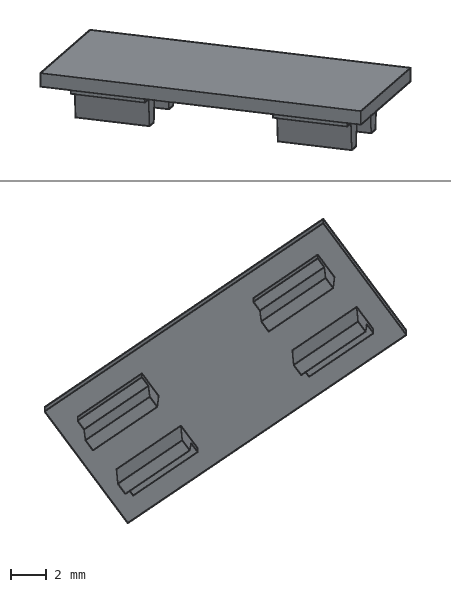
import cadquery as cq

plate_length = 19.0
plate_width = 8.0
plate_thickness = 0.8
total_height = 3.12

leg_length = 4.39
leg_end_inset = 1.31
shoulder_height = 0.68
shoulder_outer_y = 2.68
leg_root_inner_y = 1.06
leg_step_outer_y = 2.05
leg_tip_inner_y = 1.2
leg_tip_outer_y = 1.92

leg_height = total_height - plate_thickness
leg_start_x = plate_length / 2 - leg_end_inset - leg_length


def make_plate():
    """Flat plate with its underside at Z = 0."""
    return cq.Workplane("XY").box(
        plate_length, plate_width, plate_thickness, centered=(True, True, False)
    )


def make_leg():
    """Tapered leg with an outer shoulder, in the +X, +Y quadrant."""
    profile = [
        (leg_root_inner_y, 0),
        (shoulder_outer_y, 0),
        (shoulder_outer_y, -shoulder_height),
        (leg_step_outer_y, -shoulder_height),
        (leg_tip_outer_y, -leg_height),
        (leg_tip_inner_y, -leg_height),
    ]
    section = cq.Workplane("YZ", origin=(leg_start_x, 0, 0)).polyline(profile).close()
    return section.extrude(leg_length)


leg = make_leg()
leg_pair = leg.union(leg.mirror("XZ"))
result = make_plate().union(leg_pair).union(leg_pair.mirror("YZ"))